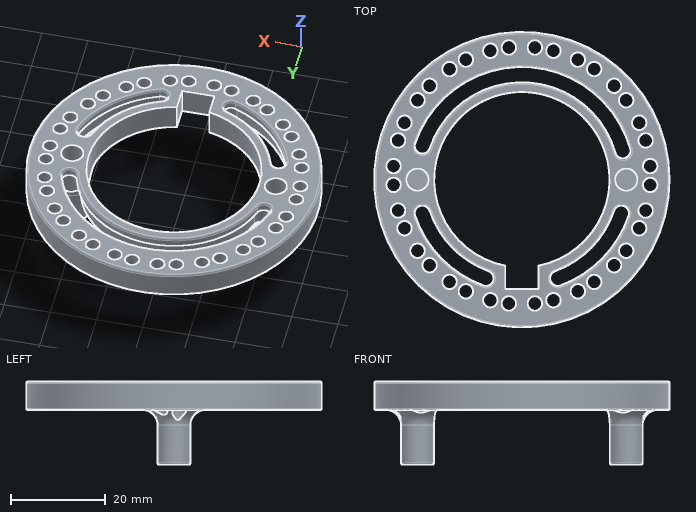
import cadquery as cq
import math

plate_diameter = 62.4
plate_thickness = 6.05
overall_height = 17.6
edge_radius = 0.4

bore_radius = 18.45
keyway_width = 7.0
keyway_reach = 23.0

slot_radius = 22.15
slot_width = 3.2
slot_relief_width = 4.7
slot_lip_thickness = 2.0
slot_spans = [(16.0, 161.3), (198.7, 250.0), (290.0, 341.3)]

small_hole_diameter = 3.0
hole_circle_radius = 27.15
hole_circle_y = 0.9
pair_count = 18
pair_pitch = 360.0 / pair_count
pair_half_angle = 4.2

pin_diameter = 7.0
pin_offset_x = 22.0
pin_root_radius = 3.1
socket_diameter = 4.7
socket_depth = plate_thickness
pin_positions = [(-pin_offset_x, 0), (pin_offset_x, 0)]


def polar(radius, angle):
    """Return the XY point at a radius and an angle in degrees."""
    a = math.radians(angle)
    return (radius * math.cos(a), radius * math.sin(a))


def make_pin():
    """Revolve one pin about Z, with a concave root fillet and a rounded tip."""
    r = pin_diameter / 2
    z_root = -plate_thickness
    z_straight = z_root - pin_root_radius
    flare_radius = r + pin_root_radius
    diagonal = pin_root_radius * math.sqrt(0.5)
    arc_middle = (flare_radius - diagonal, z_straight + diagonal)
    tip_inset = edge_radius * (1 - math.sqrt(0.5))
    tip_arc_middle = (r - tip_inset, -overall_height + tip_inset)
    return (
        cq.Workplane("XZ")
        .moveTo(0, z_root)
        .lineTo(flare_radius, z_root)
        .threePointArc(arc_middle, (r, z_straight))
        .lineTo(r, -overall_height + edge_radius)
        .threePointArc(tip_arc_middle, (r - edge_radius, -overall_height))
        .lineTo(0, -overall_height)
        .close()
        .revolve(360, (0, 0, 0), (0, 1, 0))
    )


def make_slot(start, end, width):
    """Curved slot with rounded ends, deep enough to cut the pin roots too."""
    half_width = width / 2
    inner = slot_radius - half_width
    outer = slot_radius + half_width
    middle = (start + end) / 2
    tip = math.degrees(2 * math.asin(half_width / (2 * slot_radius)))
    return (
        cq.Workplane("XY")
        .moveTo(*polar(outer, start))
        .threePointArc(polar(outer, middle), polar(outer, end))
        .threePointArc(polar(slot_radius, end + tip), polar(inner, end))
        .threePointArc(polar(inner, middle), polar(inner, start))
        .threePointArc(polar(slot_radius, start - tip), polar(outer, start))
        .close()
        .extrude(-overall_height)
    )


body = (
    cq.Workplane("XY")
    .circle(plate_diameter / 2)
    .extrude(-plate_thickness)
    .faces("<Z")
    .fillet(edge_radius)
)
pin = make_pin()
for x, y in pin_positions:
    body = body.union(pin.translate((x, y, 0)))

for start, end in slot_spans:
    body = body.cut(make_slot(start, end, slot_width))
    relief = make_slot(start, end, slot_relief_width)
    body = body.cut(relief.translate((0, 0, -slot_lip_thickness)))
body = body.faces(">Z").fillet(edge_radius)

bore = cq.Workplane("XY").circle(bore_radius).extrude(-overall_height)
keyway = (
    cq.Workplane("XY")
    .center(0, -keyway_reach / 2)
    .rect(keyway_width, keyway_reach)
    .extrude(-overall_height)
)
body = body.cut(bore).cut(keyway)

hole_points = []
for i in range(pair_count):
    pair_angle = i * pair_pitch
    for side in (-1, 1):
        x, y = polar(hole_circle_radius, pair_angle + side * pair_half_angle)
        hole_points.append((x, y + hole_circle_y))
small_holes = (
    cq.Workplane("XY")
    .pushPoints(hole_points)
    .circle(small_hole_diameter / 2)
    .extrude(-overall_height)
)
body = body.cut(small_holes)

sockets = (
    cq.Workplane("XY")
    .pushPoints(pin_positions)
    .circle(socket_diameter / 2)
    .extrude(-socket_depth)
)
result = body.cut(sockets)